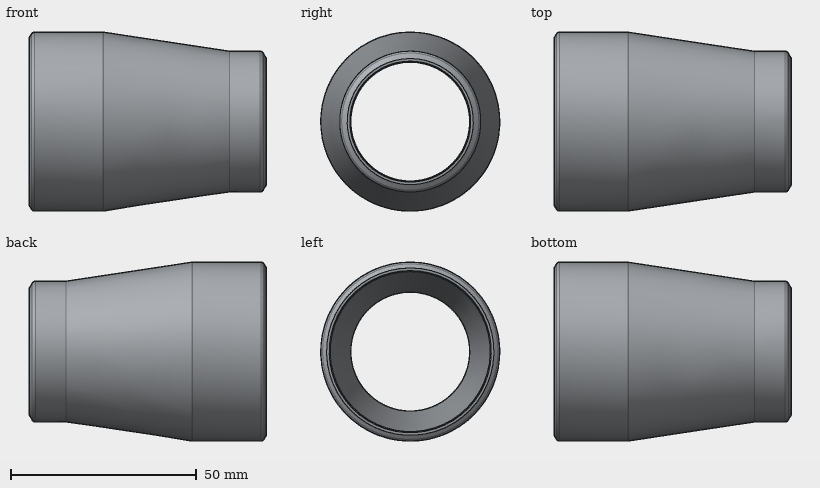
import cadquery as cq
import math

length = 64.0
wide_diameter = 48.3
wide_bore = 43.1
narrow_diameter = 38.0
narrow_bore = 32.0

outer_taper_start = 20.0
outer_taper_end = 54.0
bore_taper_setback = 8.0
bore_taper_start = outer_taper_start - bore_taper_setback
bore_taper_end = outer_taper_end - bore_taper_setback

bevel_angle = math.radians(30.0)
bevel_root_offset = 1.0
bevel_fillet = 1.0
mouth_chamfer = 0.3

shoulder_fillet = 1.0


def bevel_length(diameter, bore):
    """Axial length of the sharp bevel between its foot and the outer cylinder."""
    wall = (diameter - bore) / 2
    return (wall - bevel_root_offset) * math.tan(bevel_angle)


wide_bevel_end = bevel_length(wide_diameter, wide_bore)
narrow_bevel_start = length - bevel_length(narrow_diameter, narrow_bore)


def revolve_about_x(points):
    """Solid of revolution about the X axis from (x, radius) outline points."""
    return cq.Workplane("XZ").polyline(points).close().revolve(360, (0, 0, 0), (1, 0, 0))


def make_outer_body():
    """Bevelled wide cylinder, cone and bevelled narrow cylinder, still with sharp edges."""
    return revolve_about_x([
        (0, 0),
        (0, wide_bore / 2 + bevel_root_offset),
        (wide_bevel_end, wide_diameter / 2),
        (outer_taper_start, wide_diameter / 2),
        (outer_taper_end, narrow_diameter / 2),
        (narrow_bevel_start, narrow_diameter / 2),
        (length, narrow_bore / 2 + bevel_root_offset),
        (length, 0),
    ])


def make_bore():
    """Through bore: wide cylinder, cone and narrow cylinder."""
    return revolve_about_x([
        (0, 0),
        (0, wide_bore / 2),
        (bore_taper_start, wide_bore / 2),
        (bore_taper_end, narrow_bore / 2),
        (length, narrow_bore / 2),
        (length, 0),
    ])


def fillet_outer_ring(body, x, radius):
    """Round the circular edge of the outer body that lies in the plane at x."""
    margin = 0.01
    reach = wide_diameter
    plane_slab = cq.selectors.BoxSelector((x - margin, -reach, -reach), (x + margin, reach, reach))
    return body.edges("%CIRCLE").edges(plane_slab).fillet(radius)


def chamfer_mouths(body):
    """Break the bore edge at both end planes."""
    bore_edge = cq.selectors.RadiusNthSelector(0)
    for end_face in ("<X", ">X"):
        body = body.faces(end_face).edges(bore_edge).chamfer(mouth_chamfer)
    return body


outer_body = make_outer_body()
outer_body = fillet_outer_ring(outer_body, wide_bevel_end, bevel_fillet)
outer_body = fillet_outer_ring(outer_body, outer_taper_start, shoulder_fillet)
outer_body = fillet_outer_ring(outer_body, narrow_bevel_start, bevel_fillet)

result = chamfer_mouths(outer_body.cut(make_bore()))